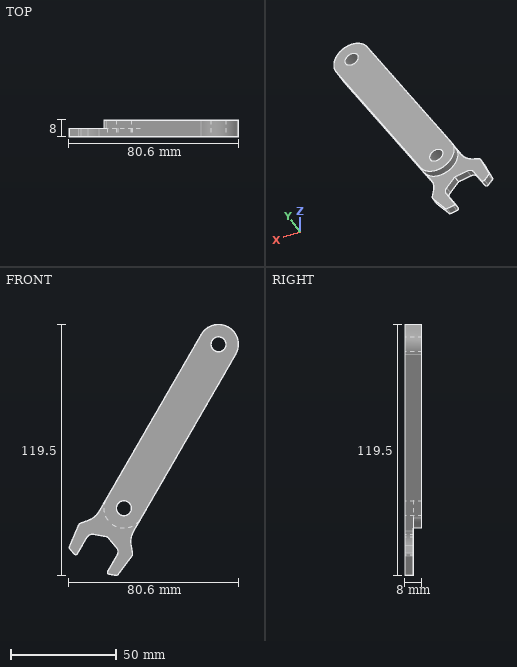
import cadquery as cq
import math

hole_spacing = 90.0
handle_angle = 60.0
end_radius = 9.5
hole_diameter = 7.0
thickness = 8.0
fork_thickness = thickness / 2

neck_reach = 10.7
shoulder_reach = 17.0
shoulder_half_width = 14.8
tip_outer_reach = 29.4
tip_outer_half_width = 13.3
jaw_half_gap = 8.3
bevel_angle = 20.0
notch_reach = 15.75

neck_radius = 10.0
shoulder_radius = 2.0
tip_radius = 1.0
notch_radius = 3.0

bevel_slope = math.tan(math.radians(bevel_angle))
tip_inner_reach = tip_outer_reach + (tip_outer_half_width - jaw_half_gap) * bevel_slope
notch_corner_reach = notch_reach + jaw_half_gap * bevel_slope


def front_sketch_plane():
    """Plane with local x along the reach direction and extrusion toward +Y."""
    angle = math.radians(handle_angle)
    reach_direction = (-math.cos(angle), 0, -math.sin(angle))
    return cq.Workplane(cq.Plane(origin=(0, 0, 0), xDir=reach_direction, normal=(0, 1, 0)))


def rounded_bar():
    """Full-thickness handle with a round end about each hole."""
    return (
        front_sketch_plane()
        .center(-hole_spacing / 2, 0)
        .slot2D(hole_spacing + 2 * end_radius, 2 * end_radius)
        .extrude(thickness)
    )


def round_corners(body, corner_pair, radius):
    """Round the through-thickness edges at a mirrored (reach, half width) corner pair."""
    reach, half_width = corner_pair
    for side in (1, -1):
        corner = front_sketch_plane().plane.toWorldCoords((reach, side * half_width, fork_thickness / 2))
        body = body.edges(cq.selectors.NearestToPointSelector(corner)).fillet(radius)
    return body


def fork():
    """Two-jaw fork with a V-floored notch, starting at the lower hole."""
    neck = (neck_reach, end_radius)
    shoulder = (shoulder_reach, shoulder_half_width)
    tip_outer = (tip_outer_reach, tip_outer_half_width)
    tip_inner = (tip_inner_reach, jaw_half_gap)
    notch_corner = (notch_corner_reach, jaw_half_gap)

    upper_side = [(0, end_radius), neck, shoulder, tip_outer, tip_inner, notch_corner]
    lower_side = [(reach, -half_width) for reach, half_width in reversed(upper_side)]
    outline = upper_side + [(notch_reach, 0)] + lower_side
    body = front_sketch_plane().polyline(outline).close().extrude(fork_thickness)

    body = round_corners(body, neck, neck_radius)
    body = round_corners(body, shoulder, shoulder_radius)
    body = round_corners(body, tip_outer, tip_radius)
    body = round_corners(body, tip_inner, tip_radius)
    return round_corners(body, notch_corner, notch_radius)


def holes():
    """Through-hole cutters at both ends of the handle."""
    return (
        front_sketch_plane()
        .pushPoints([(0, 0), (-hole_spacing, 0)])
        .circle(hole_diameter / 2)
        .extrude(thickness)
    )


result = rounded_bar().union(fork()).cut(holes())